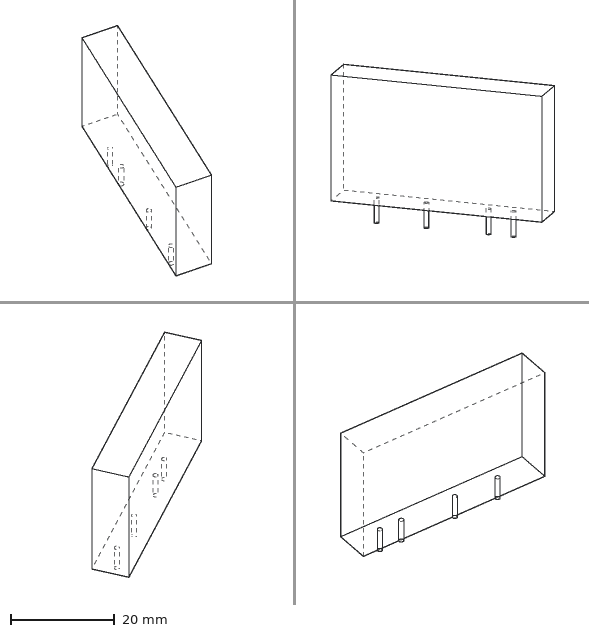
import cadquery as cq

HOUSING_LENGTH = 43.1
HOUSING_WIDTH = 7.6
HOUSING_HEIGHT = 25.45

OVERALL_HEIGHT = 30.5
PIN_LENGTH = OVERALL_HEIGHT - HOUSING_HEIGHT
PIN_DIAMETER = 1.0
PIN_GRID = 2.55
FIRST_PIN_X = 7.55
PIN_ROW_Y = 2.5
PIN_GRID_STEPS = [0, 2, 7, 11]


def make_housing():
    """Plain rectangular housing."""
    return cq.Workplane("XY").box(
        HOUSING_LENGTH, HOUSING_WIDTH, HOUSING_HEIGHT, centered=False
    )


def make_pin(x):
    """Round pin hanging from the underside of the housing at the given X."""
    return (
        cq.Workplane("XY")
        .center(x, PIN_ROW_Y)
        .circle(PIN_DIAMETER / 2)
        .extrude(-PIN_LENGTH)
    )


housing = make_housing()
pins = [make_pin(FIRST_PIN_X + step * PIN_GRID) for step in PIN_GRID_STEPS]

result = cq.Compound.makeCompound([housing.val(), *[pin.val() for pin in pins]])